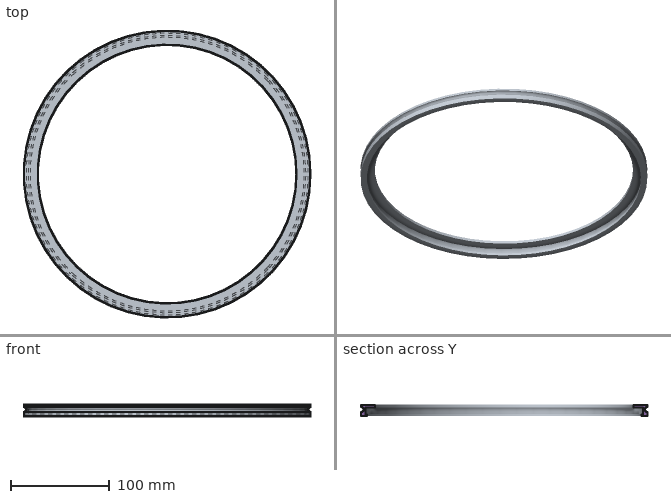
import cadquery as cq
import math

outer_radius = 145.0
height = 12.0

bore_diameter = 261.3
top_flange_width = outer_radius - bore_diameter / 2
top_flange_thickness = 3.0
bottom_flange_width = 6.5
bottom_flange_thickness = 2.3

wall_thickness = 4.5
groove_corner_radius = 2.3
groove_floor_width = 0.3
groove_z = 7.1


def ring_layer(width, bottom, thickness):
    """Flat ring reaching inward from the outer radius."""
    return (
        cq.Workplane("XY")
        .workplane(offset=bottom)
        .circle(outer_radius)
        .circle(outer_radius - width)
        .extrude(thickness)
    )


def groove_cutter():
    """Ring whose section is two quarter rounds joined by the flat groove floor."""
    bottom = groove_z - groove_floor_width / 2 - groove_corner_radius
    top = groove_z + groove_floor_width / 2 + groove_corner_radius
    floor_radius = outer_radius - groove_corner_radius
    arc_offset = groove_corner_radius * math.sqrt(0.5)
    arc_middle_radius = outer_radius - arc_offset
    arc_middle_z = groove_floor_width / 2 + arc_offset
    return (
        cq.Workplane("XZ")
        .moveTo(outer_radius, bottom)
        .threePointArc(
            (arc_middle_radius, groove_z - arc_middle_z),
            (floor_radius, groove_z - groove_floor_width / 2),
        )
        .lineTo(floor_radius, groove_z + groove_floor_width / 2)
        .threePointArc((arc_middle_radius, groove_z + arc_middle_z), (outer_radius, top))
        .lineTo(outer_radius + groove_corner_radius, top)
        .lineTo(outer_radius + groove_corner_radius, bottom)
        .close()
        .revolve(360, (0, 0), (0, 1))
    )


wall = ring_layer(wall_thickness, 0, height)
top_flange = ring_layer(top_flange_width, height - top_flange_thickness, top_flange_thickness)
bottom_flange = ring_layer(bottom_flange_width, 0, bottom_flange_thickness)

result = wall.union(top_flange).union(bottom_flange).cut(groove_cutter())